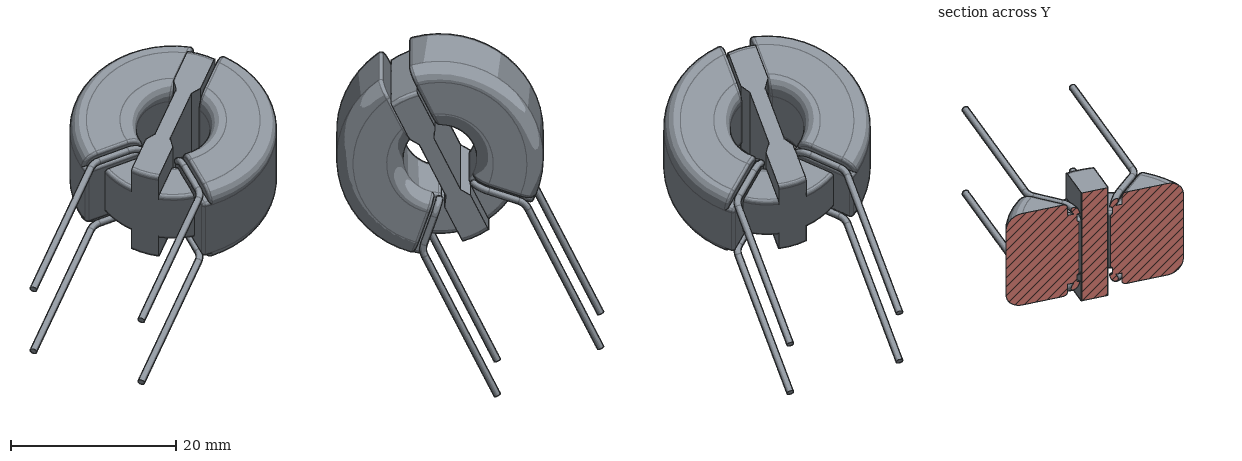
import cadquery as cq
import math

total_length = 42.4
winding_radius = 12.5
winding_bore_radius = 4.45
winding_half_height = 6.57
winding_corner = 2.0
winding_edge_round = 0.4

end_offset = 1.8
recess_offset = 0.9
ledge_height = winding_half_height - winding_corner + winding_edge_round

core_radius = 10.1
core_bore_radius = 5.17
core_half_height = 4.07
core_edge_round = 0.5
spine_height = 15.5
spine_half_width = 1.75
neck_half_width = 0.98
neck_half_length = 3.7
taper_end = 4.88

wire_radius = 0.42
wire_height = 6.0
wire_offset = 1.6
lead_x = 6.95
lead_bend = 2.0
lead_turn = 45
dip_bend = 2.3
dip_turn = 60
dip_start_along = 6.8

DIAGONAL = math.sqrt(0.5)

beyond = 2 * winding_radius

round_center_y = math.sqrt((winding_radius - winding_edge_round) ** 2 - (end_offset + winding_edge_round) ** 2)
winding_top_y = round_center_y + winding_edge_round
lead_end_y = winding_top_y - total_length


def mirrored(shape, plane):
    """The shape joined with its mirror image."""
    return shape.union(shape.mirror(plane))


def diagonal_point(along, offset):
    """Plan point on the left, `along` the diagonal and `offset` towards the lower gap."""
    return ((offset - along) * DIAGONAL, -(offset + along) * DIAGONAL)


def diagonal_slab(near, far):
    """Tall block between two diagonal planes, reaching from the axis out past the lower left."""
    corners = [
        diagonal_point(0, near),
        diagonal_point(0, far),
        diagonal_point(beyond, far),
        diagonal_point(beyond, near),
    ]
    return cq.Workplane("XY").polyline(corners).close().extrude(beyond, both=True)


def winding_ring(half_height):
    """Plain ring of the winding's size, centred on the XY plane."""
    return cq.Workplane("XY").circle(winding_radius).circle(winding_bore_radius).extrude(half_height, both=True)


def end_block():
    """Thick middle part of the winding's lower end, below the ledge that carries the wire."""
    block = winding_ring(ledge_height).intersect(diagonal_slab(-end_offset, end_offset))
    return block.edges().fillet(winding_edge_round)


def left_winding():
    """Rounded ring sector from the straight upper gap to the recessed diagonal end, plus its end block."""
    sector = [
        (-end_offset, 0),
        (-end_offset, beyond),
        (-2 * beyond, beyond),
        diagonal_point(2 * beyond, recess_offset),
        diagonal_point(0, recess_offset),
    ]
    keep = cq.Workplane("XY").polyline(sector).close().extrude(beyond, both=True)
    body = winding_ring(winding_half_height).edges("%CIRCLE").fillet(winding_corner).intersect(keep)
    end_normal = cq.Vector(DIAGONAL, -DIAGONAL, 0)
    body = body.faces(">X").edges().fillet(winding_edge_round)
    body = body.faces(cq.selectors.DirectionMinMaxSelector(end_normal)).edges().fillet(winding_edge_round)
    return body.union(end_block())


def core():
    """Flat ring crossed by a taller spine that narrows to a neck inside the bore."""
    ring = (
        cq.Workplane("XY")
        .circle(core_radius)
        .circle(core_bore_radius)
        .extrude(core_half_height, both=True)
        .edges("%CIRCLE")
        .fillet(core_edge_round)
    )
    quarter = [
        (0, 0),
        (neck_half_width, 0),
        (neck_half_width, neck_half_length),
        (spine_half_width, taper_end),
        (spine_half_width, beyond),
        (0, beyond),
    ]
    spine = cq.Workplane("XY").polyline(quarter).close().extrude(spine_height / 2, both=True)
    spine = mirrored(mirrored(spine, "YZ"), "XZ")
    round_ends = (
        cq.Workplane("XY")
        .circle(core_radius)
        .extrude(spine_height / 2, both=True)
        .edges("%CIRCLE")
        .fillet(core_edge_round)
    )
    return ring.union(spine.intersect(round_ends))


def upper_left_wire():
    """Wire rising out of the ledge, running along the winding's end and leaving towards -Y."""
    turn_along = lead_x / DIAGONAL + wire_offset
    bend_length = lead_bend * math.tan(math.radians(lead_turn / 2))

    def path_point(along, drop=0.0):
        return cq.Vector(*diagonal_point(along, wire_offset), wire_height - drop)

    def dip_point(degrees):
        angle = math.radians(degrees)
        return path_point(dip_start_along - dip_bend * math.sin(angle), dip_bend * (1 - math.cos(angle)))

    dip_start = path_point(dip_start_along)
    bend_start = path_point(turn_along - bend_length)
    bend_end = path_point(turn_along) - cq.Vector(0, bend_length, 0)
    lead_end = cq.Vector(-lead_x, lead_end_y, wire_height)
    path = cq.Wire.assembleEdges([
        cq.Edge.makeLine(lead_end, bend_end),
        cq.Edge.makeTangentArc(bend_end, cq.Vector(0, 1, 0), bend_start),
        cq.Edge.makeLine(bend_start, dip_start),
        cq.Edge.makeThreePointArc(dip_start, dip_point(dip_turn / 2), dip_point(dip_turn)),
    ])
    section = cq.Workplane("XZ", origin=lead_end.toTuple()).circle(wire_radius)
    return section.sweep(cq.Workplane(path))


wires = mirrored(upper_left_wire(), "XY")
left_half = left_winding().union(wires)
result = core().union(mirrored(left_half, "YZ"))